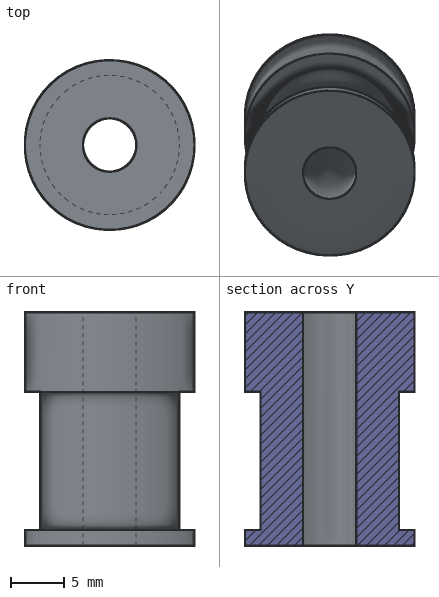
import cadquery as cq

rim_diameter = 16.0
barrel_diameter = 13.12
bore_diameter = 5.0
total_height = 22.0
hub_height = 7.5
flange_height = 1.5

barrel_height = total_height - hub_height - flange_height

body = cq.Workplane("XY").circle(rim_diameter / 2).extrude(flange_height)

body = body.faces(">Z").workplane().circle(barrel_diameter / 2).extrude(barrel_height)

body = body.faces(">Z").workplane().circle(rim_diameter / 2).extrude(hub_height)

result = body.faces(">Z").workplane().hole(bore_diameter)